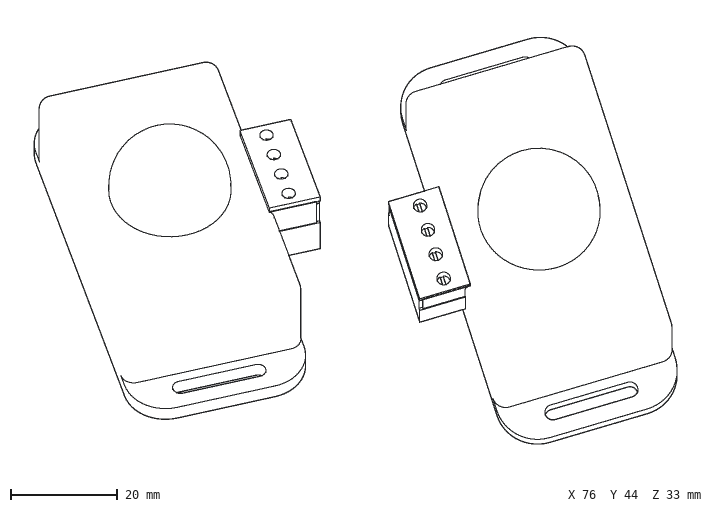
import cadquery as cq


plate_length = 76.0
plate_thickness = 3.1
plate_corner_radius = 8.0
box_length = 60.05
box_width = 35.0
box_height = 20.0
box_edge_radius = 2.5

slot_width = 3.0
slot_length = 18.1
slot_edge_gap = 3.1
slot_x = plate_length / 2 - slot_edge_gap - slot_width / 2

dome_radius = 11.5
overall_height = 33.0
dome_center_z = overall_height - dome_radius

terminal_length = 20.0
terminal_overhang = 9.0
terminal_overlap = 1.0
terminal_bottom = 5.85
lower_height = 7.5
waist_height = 6.15
cap_thickness = 1.2
waist_back_inset = 0.7
waist_end_inset = 0.15
clamp_gap = 1.15
clamp_end_inset = 0.45
wall_y = box_width / 2
terminal_back_y = wall_y + terminal_overhang
terminal_front_y = wall_y - terminal_overlap
waist_bottom = terminal_bottom + lower_height
cap_bottom = waist_bottom + waist_height
terminal_top = cap_bottom + cap_thickness

screw_count = 4
screw_pitch = terminal_length / screw_count
screw_diameter = 2.5
screw_back_distance = 5.5
screw_head_depth = 2.5
driver_slot_width = 0.6
driver_slot_depth = 0.6
screw_y = terminal_back_y - screw_back_distance


def block(length, y_front, y_back, z_bottom, z_top):
    """Box centred on X = 0, between the given Y and Z limits."""
    width = y_back - y_front
    height = z_top - z_bottom
    solid = cq.Workplane("XY").box(length, width, height, centered=(True, False, False))
    return solid.translate((0, y_front, z_bottom))


def make_base_plate():
    plate = cq.Workplane("XY").box(plate_length, box_width, plate_thickness, centered=(True, True, False))
    plate = plate.edges("|Z").fillet(plate_corner_radius)
    slots = (
        cq.Workplane("XY")
        .pushPoints([(-slot_x, 0), (slot_x, 0)])
        .slot2D(slot_length, slot_width, 90)
        .extrude(plate_thickness)
    )
    return plate.cut(slots)


def make_box():
    """Upper housing, rounded at its upright corners and its top rim."""
    box = block(box_length, -wall_y, wall_y, plate_thickness, box_height)
    return box.edges("|Z or >Z").fillet(box_edge_radius)


def make_dome():
    """Hemisphere on a short cylinder, merging into the top of the box."""
    collar = (
        cq.Workplane("XY")
        .workplane(offset=box_height)
        .circle(dome_radius)
        .extrude(dome_center_z - box_height)
    )
    cap = (
        cq.Workplane("XY")
        .sphere(dome_radius, angle1=0)
        .translate((0, 0, dome_center_z))
    )
    return collar.union(cap)


def make_terminal():
    """Lower body, recessed waist with a clamp bar at the back, and an overhanging cap."""
    lower = block(terminal_length, terminal_front_y, terminal_back_y, terminal_bottom, waist_bottom)
    waist_length = terminal_length - 2 * waist_end_inset
    waist_back_y = terminal_back_y - waist_back_inset
    waist = block(waist_length, terminal_front_y, waist_back_y, waist_bottom, cap_bottom)
    clamp_length = terminal_length - 2 * clamp_end_inset
    clamp = block(clamp_length, waist_back_y, terminal_back_y, waist_bottom, cap_bottom - clamp_gap)
    cap = block(terminal_length, terminal_front_y, terminal_back_y, cap_bottom, terminal_top)
    return lower.union(waist).union(clamp).union(cap)


def cut_screws(body):
    """Cut the screw holes and a driver slot in the floor of each one."""
    screw_head_z = terminal_top - screw_head_depth
    driver_slot_bottom = screw_head_z - driver_slot_depth
    for index in range(screw_count):
        screw_x = (index - (screw_count - 1) / 2) * screw_pitch
        hole = (
            cq.Workplane("XY", origin=(screw_x, screw_y, screw_head_z))
            .circle(screw_diameter / 2)
            .extrude(screw_head_depth)
        )
        shank = (
            cq.Workplane("XY", origin=(screw_x, screw_y, driver_slot_bottom))
            .circle(screw_diameter / 2)
            .extrude(driver_slot_depth)
        )
        groove = (
            cq.Workplane("XY", origin=(screw_x, screw_y, driver_slot_bottom))
            .rect(screw_diameter, driver_slot_width)
            .extrude(driver_slot_depth)
        )
        body = body.cut(hole).cut(groove.intersect(shank))
    return body


housing = make_base_plate().union(make_box()).union(make_dome())
result = cut_screws(housing.union(make_terminal()))